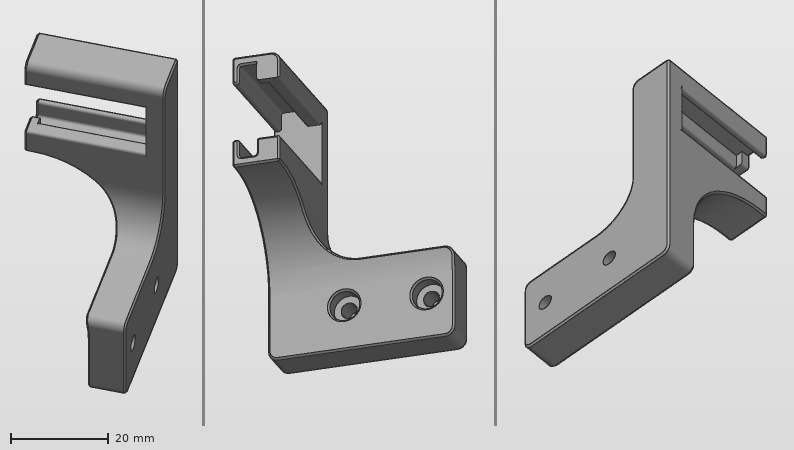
import cadquery as cq

LENGTH = 30.0
DEPTH = 40.65
HEIGHT = 59.0

POST_DEPTH = 10.3
FOOT_HEIGHT = 19.95
INNER_RADIUS = 10.05
CORNER_RADIUS = 2.0

FOOT_THICKNESS = 8.0
ARM_BOTTOM = 34.5
ARM_RADIUS = 20.0

SLOT_MIDDLE = 46.7
LIP_GAP = 12.5
RAIL_GAP = 13.0
GROOVE_GAP = 20.55
SLOT_WALL = 4.0
LIP_THICKNESS = 1.5
GROOVE_WIDTH = 3.85

TOOTH_LENGTH = 2.0
RECESS_DEPTH = 1.65

HOLE_COUNT = 2
HOLE_DIAMETER = 3.4
BORE_DIAMETER = 6.5
BORE_DEPTH = 3.0
HOLE_HEIGHT = 10.05
FIRST_HOLE_INSET = 6.0
HOLE_SPACING = 18.0

EDGE_RADIUS = 0.6
EDGE_CHAMFER = 0.4

TOLERANCE = 0.005
MARGIN = 0.6

FOOT_FACE = LENGTH - FOOT_THICKNESS
ARC_START = FOOT_FACE - ARM_RADIUS
SLOT_END = LENGTH - SLOT_WALL

FOOT_FRONT = -DEPTH
POST_FRONT = -POST_DEPTH
GROOVE_REAR = -LIP_THICKNESS
GROOVE_FRONT = GROOVE_REAR - GROOVE_WIDTH
RECESS_FRONT = GROOVE_FRONT - RECESS_DEPTH

ARC_END = ARM_BOTTOM - ARM_RADIUS
LOWER_LIP = SLOT_MIDDLE - LIP_GAP / 2
UPPER_LIP = SLOT_MIDDLE + LIP_GAP / 2
LOWER_RAIL = SLOT_MIDDLE - RAIL_GAP / 2
UPPER_RAIL = SLOT_MIDDLE + RAIL_GAP / 2
GROOVE_FLOOR = SLOT_MIDDLE - GROOVE_GAP / 2
GROOVE_ROOF = SLOT_MIDDLE + GROOVE_GAP / 2


def region(low, high):
    """Selector for shapes centred between two corners, widened by the tolerance."""
    return cq.selectors.BoxSelector(
        [value - TOLERANCE for value in low],
        [value + TOLERANCE for value in high],
    )


def round_edges(solid, radius, places):
    """Fillet the edges parallel to X that run at each (Y, Z) place."""
    for y, z in places:
        line = region((-MARGIN, y, z), (LENGTH + MARGIN, y, z))
        solid = solid.edges("|X").edges(line).fillet(radius)
    return solid


def make_body():
    """L-shaped plate with rounded corners, cleared under the arm by a large arc."""
    plate = (
        cq.Workplane("YZ")
        .moveTo(0, 0)
        .lineTo(FOOT_FRONT, 0)
        .lineTo(FOOT_FRONT, FOOT_HEIGHT)
        .lineTo(POST_FRONT, FOOT_HEIGHT)
        .lineTo(POST_FRONT, HEIGHT)
        .lineTo(0, HEIGHT)
        .close()
        .extrude(LENGTH)
    )
    outer_corners = ((0, 0), (FOOT_FRONT, 0), (FOOT_FRONT, FOOT_HEIGHT), (POST_FRONT, HEIGHT))
    plate = round_edges(plate, CORNER_RADIUS, outer_corners)
    plate = round_edges(plate, EDGE_RADIUS, [(0, HEIGHT)])
    plate = round_edges(plate, INNER_RADIUS, [(POST_FRONT, FOOT_HEIGHT)])

    clearance = (
        cq.Workplane("XZ")
        .moveTo(-MARGIN, -MARGIN)
        .lineTo(FOOT_FACE, -MARGIN)
        .lineTo(FOOT_FACE, ARC_END)
        .radiusArc((ARC_START, ARM_BOTTOM), -ARM_RADIUS)
        .lineTo(-MARGIN, ARM_BOTTOM)
        .close()
        .extrude(DEPTH)
    )
    return plate.cut(clearance)


def slot_box(start, front, rear, gap):
    """Box of the given Z gap, centred on the slot and ending at the slot wall."""
    size = (SLOT_END - start, rear - front, gap)
    corner = (start, front, SLOT_MIDDLE - gap / 2)
    return cq.Workplane("XY").box(*size, centered=False).translate(corner)


def cut_slot(body):
    """Open the slot, the groove along both jaws and the recess behind the teeth."""
    lip_slot = slot_box(-MARGIN, GROOVE_FRONT, MARGIN, LIP_GAP)
    rail_slot = slot_box(-MARGIN, POST_FRONT - MARGIN, GROOVE_REAR, RAIL_GAP)

    groove = slot_box(-MARGIN, GROOVE_FRONT, GROOVE_REAR, GROOVE_GAP)
    groove_corners = (
        (GROOVE_REAR, GROOVE_ROOF),
        (GROOVE_REAR, GROOVE_FLOOR),
        (GROOVE_FRONT, GROOVE_FLOOR),
    )
    groove = round_edges(groove, EDGE_RADIUS, groove_corners)

    recess = slot_box(TOOTH_LENGTH, RECESS_FRONT, GROOVE_REAR - EDGE_RADIUS, GROOVE_GAP)
    recess = round_edges(recess, EDGE_RADIUS, [(RECESS_FRONT, GROOVE_FLOOR)])

    return body.cut(lip_slot).cut(rail_slot).cut(groove).cut(recess)


def round_lips(body):
    places = [(y, z) for z in (LOWER_LIP, UPPER_LIP) for y in (0, GROOVE_REAR)]
    return round_edges(body, EDGE_RADIUS, places)


def round_rail(body, height):
    places = [(y, height) for y in (POST_FRONT, GROOVE_FRONT, RECESS_FRONT)]
    return round_edges(body, EDGE_RADIUS, places)


def chamfer_right_face(body):
    return body.faces(">X").edges().chamfer(EDGE_CHAMFER)


def chamfer_left_faces(body):
    """Chamfer the jaw ends, the arc sides and the foot; the slot side of the upper rail stays plain."""
    upper_rail_slot_side = region(
        (0, POST_FRONT + MARGIN, UPPER_RAIL),
        (0, GROOVE_FRONT, GROOVE_ROOF - MARGIN),
    )
    jaw_ends = body.faces("<X").edges()
    plain_edges = jaw_ends.edges(upper_rail_slot_side).vals()
    chamfered = [edge for edge in jaw_ends.vals() if edge not in plain_edges]

    foot_bottom = region((FOOT_FACE, FOOT_FRONT, 0), (FOOT_FACE, 0, 0))
    chamfered += body.edges("|Y").edges(foot_bottom).vals()
    return body.newObject(chamfered).chamfer(EDGE_CHAMFER)


def drill_holes(body):
    """Counterbored holes through the foot, with chamfered rims."""
    for i in range(HOLE_COUNT):
        y = FOOT_FRONT + FIRST_HOLE_INSET + i * HOLE_SPACING
        plane = cq.Plane(origin=(FOOT_FACE, y, HOLE_HEIGHT), xDir=(0, 1, 0), normal=(1, 0, 0))
        hole = cq.Workplane(plane).circle(HOLE_DIAMETER / 2).extrude(FOOT_THICKNESS)
        bore = cq.Workplane(plane).circle(BORE_DIAMETER / 2).extrude(BORE_DEPTH)
        rim_radius = BORE_DIAMETER / 2 + EDGE_CHAMFER
        rim = cq.Workplane(plane).circle(rim_radius).extrude(EDGE_CHAMFER, taper=45)
        body = body.cut(hole).cut(bore).cut(rim)
    return body


body = cut_slot(make_body())
body = round_lips(body)
body = round_rail(body, LOWER_RAIL)
body = chamfer_right_face(body)
body = chamfer_left_faces(body)

body = round_rail(body, UPPER_RAIL)
result = drill_holes(body).solids()